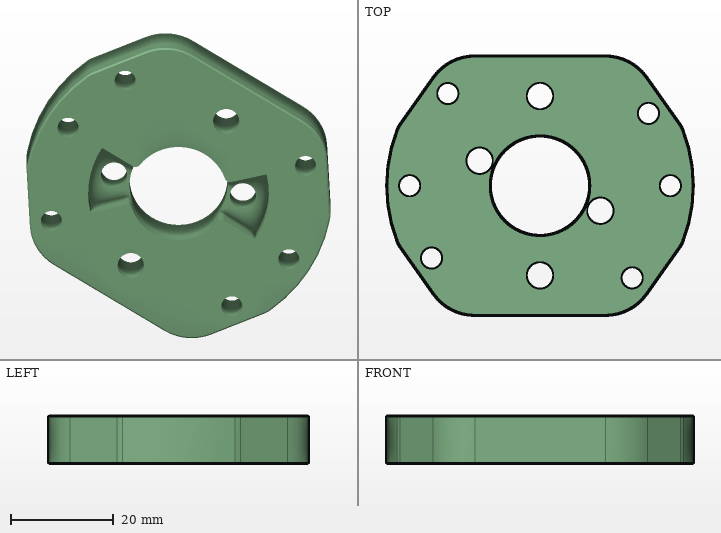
import cadquery as cq
import math

nearest_to = cq.selectors.NearestToPointSelector

round_diameter = 60.0
plate_width = 50.8
thickness = 9.55
edge_chamfer = 0.3

flat_corner_x = 17.9
cut_angle = 54.7
flat_corner_radius = 10.0
round_corner_radius = 5.0

bore_diameter = 19.1
bore_chamfer = 0.3

small_hole_diameter = 4.1
small_circle_radius = 25.4
small_hole_angles = (0, 33.7, 135)
large_hole_diameter = 5.1
outer_large_radius = 17.45
outer_large_angle = 90
inner_large_radius = 12.7
inner_large_angle = -22.5

relief_angle = 2 * abs(inner_large_angle)
relief_outer_radius = inner_large_radius * (1 + math.sin(math.radians(relief_angle / 2)))
relief_depth = 5.05
relief_mouth_radius = 1.0


def polar_point(radius, angle):
    """XY point at a polar radius and an angle in degrees."""
    return (radius * math.cos(math.radians(angle)), radius * math.sin(math.radians(angle)))


def make_plate():
    """Round-sided plate with flat front and back sides, four slanted corners and chamfered rims."""
    round_radius = round_diameter / 2
    half_width = plate_width / 2

    normal_angle = 90 - cut_angle
    normal_x, normal_y = polar_point(1, normal_angle)
    line_distance = flat_corner_x * normal_x + half_width * normal_y
    round_corner_angle = normal_angle - math.degrees(math.acos(line_distance / round_radius))
    round_x, round_y = polar_point(round_radius, round_corner_angle)

    plate = (
        cq.Workplane("XY")
        .moveTo(-flat_corner_x, half_width)
        .lineTo(flat_corner_x, half_width)
        .lineTo(round_x, round_y)
        .threePointArc((round_radius, 0), (round_x, -round_y))
        .lineTo(flat_corner_x, -half_width)
        .lineTo(-flat_corner_x, -half_width)
        .lineTo(-round_x, -round_y)
        .threePointArc((-round_radius, 0), (-round_x, round_y))
        .close()
        .extrude(thickness)
    )
    for side in (-1, 1):
        for end in (-1, 1):
            flat_corner = (side * flat_corner_x, end * half_width, thickness / 2)
            round_corner = (side * round_x, end * round_y, thickness / 2)
            plate = plate.edges(nearest_to(flat_corner)).fillet(flat_corner_radius)
            plate = plate.edges(nearest_to(round_corner)).fillet(round_corner_radius)
    return plate.faces("<Z or >Z").edges().chamfer(edge_chamfer)


def through_holes(points, diameter):
    """Cylinders that cut through the full thickness."""
    return cq.Workplane("XY").pushPoints(points).circle(diameter / 2).extrude(thickness)


def make_bore():
    """Straight centre bore with a countersunk top rim."""
    bore = through_holes([(0, 0)], bore_diameter)
    rim = (
        cq.Workplane("XY", origin=(0, 0, thickness - bore_chamfer))
        .circle(bore_diameter / 2)
        .workplane(offset=bore_chamfer)
        .circle(bore_diameter / 2 + bore_chamfer)
        .loft()
    )
    return bore.union(rim)


def make_relief(middle_angle):
    """Sector-shaped pocket in the bottom, open to the bore and centred on an inner large hole."""
    bore_radius = bore_diameter / 2

    corner_centre_radius = bore_radius + relief_mouth_radius
    corner_angle = math.degrees(math.asin(relief_mouth_radius / corner_centre_radius))
    wall_start = math.sqrt(corner_centre_radius**2 - relief_mouth_radius**2)
    half_angle = relief_angle / 2

    def mouth_arc_middle(side):
        """Middle point of the rounded mouth corner on one side of the sector."""
        centre_x, centre_y = polar_point(corner_centre_radius, side * (half_angle + corner_angle))
        toward_opening = side * (half_angle + corner_angle + 180 + (90 - corner_angle) / 2)
        step_x, step_y = polar_point(relief_mouth_radius, toward_opening)
        return (centre_x + step_x, centre_y + step_y)

    sector = (
        cq.Workplane("XY")
        .moveTo(0, 0)
        .lineTo(*polar_point(bore_radius, -half_angle - corner_angle))
        .threePointArc(mouth_arc_middle(-1), polar_point(wall_start, -half_angle))
        .lineTo(*polar_point(relief_outer_radius, -half_angle))
        .threePointArc((relief_outer_radius, 0), polar_point(relief_outer_radius, half_angle))
        .lineTo(*polar_point(wall_start, half_angle))
        .threePointArc(mouth_arc_middle(1), polar_point(bore_radius, half_angle + corner_angle))
        .close()
        .extrude(relief_depth)
    )
    return sector.rotate((0, 0, 0), (0, 0, 1), middle_angle)


def make_hole_pair(radius, angle, diameter):
    """Two screw holes facing each other across the plate centre."""
    points = [polar_point(radius, angle), polar_point(radius, angle + 180)]
    return through_holes(points, diameter)


result = make_plate().cut(make_bore())
for half_turn in (0, 180):
    result = result.cut(make_relief(inner_large_angle + half_turn))
for hole_angle in small_hole_angles:
    result = result.cut(make_hole_pair(small_circle_radius, hole_angle, small_hole_diameter))
result = result.cut(make_hole_pair(outer_large_radius, outer_large_angle, large_hole_diameter))
result = result.cut(make_hole_pair(inner_large_radius, inner_large_angle, large_hole_diameter))